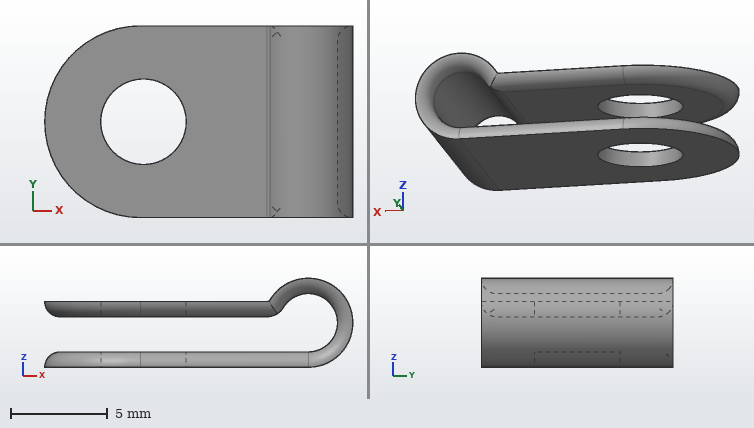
import cadquery as cq
import math

length = 15.9
width = 9.9
thickness = 0.8
loop_outer_radius = 2.3
upper_arm_top = 3.4
bend_concave_radius = 0.2
hole_diameter = 4.4
hole_to_arm_end = 5.1
rim_edge = 0.001

arm_end = -hole_to_arm_end
loop_x = arm_end + length - loop_outer_radius
loop_z = loop_outer_radius
loop_inner_radius = loop_outer_radius - thickness
bend_convex_radius = bend_concave_radius + thickness
upper_arm_bottom = upper_arm_top - thickness
end_radius = width / 2
rim_round = thickness - rim_edge


def arm_join_x(radius, height):
    """X where a horizontal line meets the arm side of a circle about the loop axis."""
    return loop_x - math.sqrt(radius**2 - (height - loop_z) ** 2)


outer_join_x = arm_join_x(loop_outer_radius, upper_arm_top)
inner_join_x = arm_join_x(loop_inner_radius, upper_arm_bottom)


def make_strip():
    """Constant-thickness strip: lower arm, loop and upper arm, with sharp bend corners."""
    return (
        cq.Workplane("XZ")
        .moveTo(arm_end, 0)
        .lineTo(loop_x, 0)
        .threePointArc((loop_x + loop_outer_radius, loop_z), (outer_join_x, upper_arm_top))
        .lineTo(arm_end, upper_arm_top)
        .lineTo(arm_end, upper_arm_bottom)
        .lineTo(inner_join_x, upper_arm_bottom)
        .threePointArc((loop_x + loop_inner_radius, loop_z), (loop_x, thickness))
        .lineTo(arm_end, thickness)
        .close()
        .extrude(width / 2, both=True)
    )


def make_plan():
    """Prism of the plan outline: a rectangle with a semicircular arm end."""
    arc_x = arm_end + end_radius
    return (
        cq.Workplane("XY")
        .moveTo(arc_x, -end_radius)
        .lineTo(arm_end + length, -end_radius)
        .lineTo(arm_end + length, end_radius)
        .lineTo(arc_x, end_radius)
        .threePointArc((arm_end, 0), (arc_x, -end_radius))
        .close()
        .extrude(2 * loop_outer_radius)
    )


def round_rim(clamp):
    """Round the rims of both arms and the loop on their inward-facing side."""
    lower_rim = cq.NearestToPointSelector((arm_end, 0, thickness))
    upper_rim = cq.NearestToPointSelector((arm_end, 0, upper_arm_bottom))
    return clamp.edges(lower_rim + upper_rim).fillet(rim_round)


def round_bend(clamp, strip):
    """Round the corners where the upper arm meets the loop.

    The convex corner is rounded by trimming to a rounded strip, so the
    mitre between the rounded rims stays crisp up to that corner.
    """
    concave_corner = cq.NearestToPointSelector((outer_join_x, 0, upper_arm_top))
    convex_corner = cq.NearestToPointSelector((inner_join_x, 0, upper_arm_bottom))
    rounded_strip = (
        strip.edges(convex_corner).fillet(bend_convex_radius)
        .edges(concave_corner).fillet(bend_concave_radius)
    )
    return clamp.edges(concave_corner).fillet(bend_concave_radius).intersect(rounded_strip)


def cut_screw_hole(clamp):
    """Cut the screw hole through both arms."""
    hole = cq.Workplane("XY").circle(hole_diameter / 2).extrude(2 * loop_outer_radius)
    return clamp.cut(hole)


sharp_strip = make_strip()
rimmed_clamp = round_rim(sharp_strip.intersect(make_plan()))
result = cut_screw_hole(round_bend(rimmed_clamp, sharp_strip))